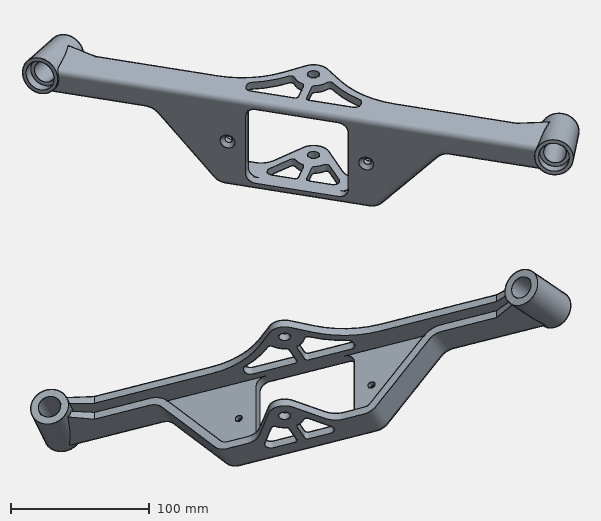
import cadquery as cq
import math

overall_length = 411.3
overall_height = 84.5

body_top = 77.5
body_depth = 25.0
arm_height = 20.5
arm_end_gap = 4.0
arm_bottom = body_top - arm_height
flange = 6.0
front_wall = 7.5
foot_half_width = 59.2
shoulder_half_width = 108.0
bend_radius = 12.5
front_round = 4.5

tube_radius = 14.0
tube_length = 45.0
tube_lean = 10
tube_center_y = 0.5
bore_radius = 8.2
seat_radius = 11.0
seat_depth = 8.2
overrun = 4.0

gusset_root_x = 157.0
gusset_top_angle = 19
gusset_bottom_angle = 31

window_half_width = 38.2
window_corner = 7.5
screw_x = 52.0
screw_z = 39.0
screw_hole = 5.5
screw_head = 11.0

tab_hole_y = 45.2
tab_hole = 8.5
tab_tip_radius = 12.0
top_tab_slope = math.radians(42)
top_tab_blend = 67.5
bottom_tab_slope = math.radians(53)
bottom_tab_blend = 15.5

web = 6.0
half_rib = web / 2
cutout_front = 13.0
cutout_head_radius = 14.5
cutout_round = 2.5
cutout_end_round = 4.5
top_cutout_end = 42.8

lean = math.tan(math.radians(tube_lean))
rim_reach = tube_radius * math.sqrt((1 + lean ** 2) / (1 + 2 * lean ** 2))
tube_center_x = overall_length / 2 - rim_reach
tube_center_z = overall_height - rim_reach
arm_end = tube_center_x - arm_end_gap


def mirrored(solid):
    """The solid together with its reflection in the X = 0 plane."""
    return solid.union(solid.mirror("YZ"))


def polar(center_y, radius, angle):
    """Point at the given radius from (0, center_y), with the angle measured from +Y towards +X."""
    return (radius * math.sin(angle), center_y + radius * math.cos(angle))


def body_block(inset, y_front, y_back):
    """The body's front outline, moved inward by inset and extruded from y_front to y_back."""
    slope = math.atan2(arm_bottom, shoulder_half_width - foot_half_width)
    corner_shift = inset * math.tan(slope / 2)
    foot = foot_half_width - corner_shift
    shoulder = shoulder_half_width - corner_shift
    low = inset
    middle = arm_bottom + inset
    high = body_top - inset
    block = (
        cq.Workplane("XZ", origin=(0, y_front, 0))
        .polyline([
            (-arm_end, high), (arm_end, high), (arm_end, middle), (shoulder, middle),
            (foot, low), (-foot, low), (-shoulder, middle), (-arm_end, middle),
        ])
        .close()
        .extrude(y_front - y_back)
    )
    block = block.edges("|Y").edges("<Z").fillet(bend_radius - inset)
    shoulder_zone = cq.selectors.BoxSelector(
        (-shoulder - 4, y_front - 4, middle - 4), (shoulder + 4, y_back + 4, middle + 4)
    )
    return block.edges("|Y").edges(shoulder_zone).fillet(bend_radius + inset)


def tab_blend_center(slope, blend_radius):
    """Centre of the right-hand arc that is tangent to the flange's back edge and the sloping tab edge."""
    tip_x, tip_y = polar(tab_hole_y, tab_tip_radius, slope)
    root_x = tip_x + (tip_y - body_depth) / math.tan(slope)
    return (root_x + blend_radius * math.tan(slope / 2), body_depth + blend_radius)


def tab(slope, blend_radius):
    """Plate with a round tip, sloping sides and arcs that run out into the flange's back edge."""
    tip_x, tip_y = polar(tab_hole_y, tab_tip_radius, slope)
    arc_x, arc_y = tab_blend_center(slope, blend_radius)
    side_x = arc_x - blend_radius * math.sin(slope)
    side_y = arc_y - blend_radius * math.cos(slope)
    middle_x = arc_x - blend_radius * math.sin(slope / 2)
    middle_y = arc_y - blend_radius * math.cos(slope / 2)
    return (
        cq.Workplane("XY")
        .moveTo(-arc_x, front_wall)
        .lineTo(arc_x, front_wall)
        .lineTo(arc_x, body_depth)
        .threePointArc((middle_x, middle_y), (side_x, side_y))
        .lineTo(tip_x, tip_y)
        .threePointArc((0, tab_hole_y + tab_tip_radius), (-tip_x, tip_y))
        .lineTo(-side_x, side_y)
        .threePointArc((-middle_x, middle_y), (-arc_x, body_depth))
        .close()
        .extrude(flange)
    )


def cutout_start(slope):
    """Rib side and head arc of a right-hand cutout, ending one web inside the sloping tab edge."""
    rib_angle = math.pi - math.asin(half_rib / cutout_head_radius)
    apex_angle = slope + math.acos((tab_tip_radius - web) / cutout_head_radius)
    return (
        cq.Workplane("XY")
        .moveTo(half_rib, cutout_front)
        .lineTo(*polar(tab_hole_y, cutout_head_radius, rib_angle))
        .threePointArc(
            polar(tab_hole_y, cutout_head_radius, (rib_angle + apex_angle) / 2),
            polar(tab_hole_y, cutout_head_radius, apex_angle),
        )
    )


def rounded_cutout(outline):
    """Extruded cutout: a large round at its outermost corners, small rounds at the others."""
    solid = outline.close().extrude(flange)
    outermost = solid.vertices(">X").val().X
    margin = 0.5
    small = cq.selectors.BoxSelector((0, 0, -4), (outermost - margin, tab_hole_y, flange + 4))
    solid = solid.edges("|Z").edges(small).fillet(cutout_round)
    outer = cq.selectors.BoxSelector((outermost - margin, 0, -4), (outermost + margin, tab_hole_y, flange + 4))
    return solid.edges("|Z").edges(outer).fillet(cutout_end_round)


def top_cutout():
    """Cutout whose back edge follows the sloping side and blend arc of the top tab."""
    arc_x, arc_y = tab_blend_center(top_tab_slope, top_tab_blend)
    radius = top_tab_blend + web

    def on_arc(x):
        return (x, arc_y - math.sqrt(radius ** 2 - (arc_x - x) ** 2))

    arc_start = arc_x - radius * math.sin(top_tab_slope)
    outline = (
        cutout_start(top_tab_slope)
        .lineTo(*on_arc(arc_start))
        .threePointArc(on_arc((arc_start + top_cutout_end) / 2), on_arc(top_cutout_end))
        .lineTo(top_cutout_end, cutout_front)
    )
    return rounded_cutout(outline)


def bottom_cutout():
    """Cutout whose back edge runs straight, parallel to the sloping side of the bottom tab."""
    edge_x, edge_y = polar(tab_hole_y, tab_tip_radius - web, bottom_tab_slope)
    corner_x = edge_x + (edge_y - cutout_front) / math.tan(bottom_tab_slope)
    return rounded_cutout(cutout_start(bottom_tab_slope).lineTo(corner_x, cutout_front))


def gusset():
    """Left gusset: a triangle in plan that grows steeper from the top of the arm to its bottom."""
    width = arm_end - gusset_root_x

    def rise(angle):
        return body_depth + width * math.tan(math.radians(angle))

    def triangle(plane, angle):
        return plane.polyline([
            (-gusset_root_x, body_depth), (-arm_end, body_depth), (-arm_end, rise(angle)),
        ]).close()

    bottom = triangle(cq.Workplane("XY", origin=(0, 0, arm_bottom)), gusset_bottom_angle)
    return triangle(bottom.workplane(offset=arm_height, origin=(0, 0, 0)), gusset_top_angle).loft()


def tube_rod(radius, start, end):
    """Left-hand rod on the tube axis, between two distances from the tube's front face."""
    plane = cq.Plane(
        origin=(-tube_center_x, tube_center_y, tube_center_z),
        xDir=(0, lean, 1),
        normal=(lean, 1, -lean),
    )
    return cq.Workplane(plane).workplane(offset=start).circle(radius).extrude(end - start)


def countersunk_hole():
    """Left-hand screw hole through the front wall with a 90 degree countersink."""
    sink_depth = (screw_head - screw_hole) / 2
    plane = cq.Workplane("XZ", origin=(-screw_x, 0, screw_z))
    hole = plane.circle(screw_hole / 2).extrude(-front_wall)
    sink = plane.circle(screw_head / 2).workplane(offset=-sink_depth).circle(screw_hole / 2).loft()
    return hole.union(sink)


body = body_block(0, 0, body_depth)
body = body.faces("<Y").edges("not(<X or >X)").fillet(front_round)
body = body.union(mirrored(gusset()))
body = body.cut(body_block(flange, front_wall, tab_hole_y))
top_plate_base = (0, 0, body_top - flange)
body = body.union(tab(top_tab_slope, top_tab_blend).translate(top_plate_base))
body = body.union(tab(bottom_tab_slope, bottom_tab_blend))

body = body.cut(mirrored(top_cutout().translate(top_plate_base)))
body = body.cut(mirrored(bottom_cutout()))
body = body.cut(cq.Workplane("XY").center(0, tab_hole_y).circle(tab_hole / 2).extrude(body_top))

window = (
    cq.Workplane("XZ", origin=(0, 0, body_top / 2))
    .rect(2 * window_half_width, body_top - 2 * flange)
    .extrude(-front_wall)
    .edges("|Y")
    .fillet(window_corner)
)
body = body.cut(window).cut(mirrored(countersunk_hole()))

body = body.union(mirrored(tube_rod(tube_radius, 0, tube_length)))
body = body.cut(mirrored(tube_rod(bore_radius, -overrun, tube_length + overrun)))
body = body.cut(mirrored(tube_rod(seat_radius, -overrun, seat_depth)))

result = body